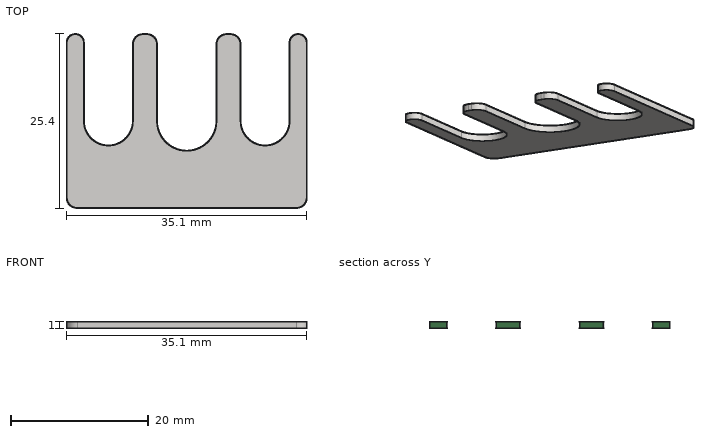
import cadquery as cq

WIDTH = 35.052
LENGTH = 25.4
THICKNESS = 1.0
CORNER_RADIUS = 1.524

SLOT_END_Y = 0.0
CENTRE_SLOT_RADIUS = 4.318
SIDE_SLOT_RADIUS = 3.556
SIDE_SLOT_X = 11.43

SIDE_X = WIDTH / 2
BASE_Y = -LENGTH / 2
TIP_Y = LENGTH / 2
INNER_FINGER_OUTER_X = SIDE_SLOT_X - SIDE_SLOT_RADIUS
OUTER_FINGER_INNER_X = SIDE_SLOT_X + SIDE_SLOT_RADIUS

OUTER_TIP_RADIUS = (SIDE_X - OUTER_FINGER_INNER_X) / 2
OUTER_FINGER_X = SIDE_X - OUTER_TIP_RADIUS
OUTER_TIP_CENTRE_Y = TIP_Y - OUTER_TIP_RADIUS

SELECTION_MARGIN = 0.1


def plate():
    """Plain plate whose two outer finger tips are already full rounds."""
    return (
        cq.Workplane("XY")
        .moveTo(-SIDE_X, BASE_Y)
        .lineTo(SIDE_X, BASE_Y)
        .lineTo(SIDE_X, OUTER_TIP_CENTRE_Y)
        .threePointArc((OUTER_FINGER_X, TIP_Y), (OUTER_FINGER_INNER_X, OUTER_TIP_CENTRE_Y))
        .lineTo(OUTER_FINGER_INNER_X, TIP_Y)
        .lineTo(-OUTER_FINGER_INNER_X, TIP_Y)
        .lineTo(-OUTER_FINGER_INNER_X, OUTER_TIP_CENTRE_Y)
        .threePointArc((-OUTER_FINGER_X, TIP_Y), (-SIDE_X, OUTER_TIP_CENTRE_Y))
        .close()
        .extrude(THICKNESS)
    )


def open_slot(centre_x, radius):
    """Cutter for a round-ended slot that runs out through the +Y edge."""
    return (
        cq.Workplane("XY")
        .moveTo(centre_x - radius, TIP_Y)
        .lineTo(centre_x - radius, SLOT_END_Y)
        .threePointArc((centre_x, SLOT_END_Y - radius), (centre_x + radius, SLOT_END_Y))
        .lineTo(centre_x + radius, TIP_Y)
        .close()
        .extrude(THICKNESS)
    )


def round_corners(body, half_width, edge_y):
    """Fillet the upright edges at Y = edge_y that lie within half_width of the centre line."""
    corner_region = cq.selectors.BoxSelector(
        (-half_width - SELECTION_MARGIN, edge_y - SELECTION_MARGIN, -SELECTION_MARGIN),
        (half_width + SELECTION_MARGIN, edge_y + SELECTION_MARGIN, THICKNESS + SELECTION_MARGIN),
    )
    return body.edges("|Z").edges(corner_region).fillet(CORNER_RADIUS)


result = plate().cut(open_slot(0, CENTRE_SLOT_RADIUS))
for side in (-1, 1):
    result = result.cut(open_slot(side * SIDE_SLOT_X, SIDE_SLOT_RADIUS))

result = round_corners(result, SIDE_X, BASE_Y)
result = round_corners(result, INNER_FINGER_OUTER_X, TIP_Y)